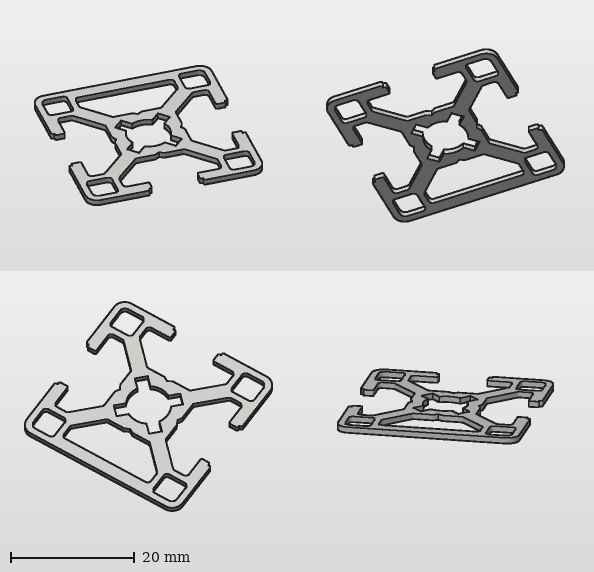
import cadquery as cq
import math

side = 30.0
thickness = 1.0
half_side = side / 2
corner_radius = 2.0

lip_thickness = 2.2
opening_half_width = 4.08
lip_notch = 0.5
lip_edge_radius = 0.25

cavity_half_width = 8.37
cavity_top = half_side - lip_thickness
cavity_radius = 0.65
hub_half_width = 5.97
hub_radius = 0.35
web_width = 2.65
web_offset = web_width / math.sqrt(2)

groove_half_width = 0.93
groove_flank_half_width = 0.65
groove_slope = math.radians(30)
shoulder_radius = (groove_half_width - groove_flank_half_width) / math.sin(groove_slope)
shoulder_drop = shoulder_radius * (1 - math.cos(groove_slope))
groove_depth = shoulder_drop + groove_flank_half_width * math.tan(groove_slope)

cell_wall = 1.2
cell_size = 4.3
cell_outer_radius = 1.0
cell_radius = 0.65
cell_limit = half_side - cell_wall
cell_center = cell_limit - cell_size / 2

bore_radius = 3.65
keyway_width = 2.13
keyway_reach = 5.5

ALL_SIDE_ANGLES = (0, 90, 180, 270)
OPEN_SIDE_ANGLES = (0, 180, 270)


def turned(shape, angle):
    """Rotate a shape about the profile axis."""
    return shape.rotate((0, 0, 0), (0, 0, 1), angle)


def rounded_square(width, radius):
    """Square prism centred on the Z axis with rounded corners."""
    return cq.Workplane("XY").rect(width, width).extrude(thickness).edges("|Z").fillet(radius)


def symmetric_prism(right_side):
    """Prism from the +X half of an outline, mirrored to the -X half."""
    left_side = [(-x, y) for x, y in reversed(right_side)]
    return cq.Workplane("XY").polyline(right_side + left_side).close().extrude(thickness)


def slot_cavity():
    """Cavity on the +Y side, bounded by the lips, two webs and the hub."""
    cavity = symmetric_prism([
        (hub_half_width - web_offset, hub_half_width),
        (cavity_half_width, cavity_half_width + web_offset),
        (cavity_half_width, cavity_top),
    ])
    cavity = cavity.edges("|Z and <Y").fillet(hub_radius)
    return cavity.edges("|Z and (<X or >X)").fillet(cavity_radius)


def hub_groove():
    """V groove with rounded shoulders in the +Y face of the hub."""
    shoulder_y = hub_half_width - shoulder_drop
    return (
        cq.Workplane("XY")
        .moveTo(-groove_half_width, hub_half_width)
        .radiusArc((-groove_flank_half_width, shoulder_y), shoulder_radius)
        .lineTo(0, hub_half_width - groove_depth)
        .lineTo(groove_flank_half_width, shoulder_y)
        .radiusArc((groove_half_width, hub_half_width), shoulder_radius)
        .close()
        .extrude(thickness)
    )


def slot_opening():
    """Gap between the lips on the +Y side, widened by a notch at the outer face."""
    notch_half_width = opening_half_width + lip_notch
    notch_floor = half_side - lip_notch
    return symmetric_prism([
        (opening_half_width, cavity_top),
        (opening_half_width, notch_floor),
        (notch_half_width, notch_floor),
        (notch_half_width, half_side),
    ])


def corner_cell():
    """Hollow cell in the +X +Y corner, rounder at its outermost corner."""
    cell = (
        cq.Workplane("XY")
        .center(cell_center, cell_center)
        .rect(cell_size, cell_size)
        .extrude(thickness)
    )
    cell = cell.edges("|Z and (<X or <Y)").fillet(cell_radius)
    return cell.intersect(rounded_square(2 * cell_limit, cell_outer_radius))


def center_opening():
    """Round bore crossed by two perpendicular diagonal keyways."""
    opening = cq.Workplane("XY").circle(bore_radius).extrude(thickness)
    keyway = cq.Workplane("XY").rect(2 * keyway_reach, keyway_width).extrude(thickness)
    for angle in (45, 135):
        opening = opening.union(turned(keyway, angle))
    return opening


def round_lip_edges(body):
    """Round the protruding edges of the two lips beside the +Y slot opening."""
    lip_corners = [
        (opening_half_width, cavity_top),
        (opening_half_width, half_side - lip_notch),
        (opening_half_width + lip_notch, half_side),
    ]
    for x, y in lip_corners:
        for corner_x in (x, -x):
            nearest = cq.selectors.NearestToPointSelector((corner_x, y, thickness / 2))
            body = body.edges("|Z").edges(nearest).fillet(lip_edge_radius)
    return body


result = rounded_square(side, corner_radius).cut(center_opening())
for side_angle in ALL_SIDE_ANGLES:
    result = result.cut(turned(slot_cavity(), side_angle))
    result = result.cut(turned(hub_groove(), side_angle))
    result = result.cut(turned(corner_cell(), side_angle))
for side_angle in OPEN_SIDE_ANGLES:
    result = result.cut(turned(slot_opening(), side_angle))
    result = turned(round_lip_edges(turned(result, -side_angle)), side_angle)